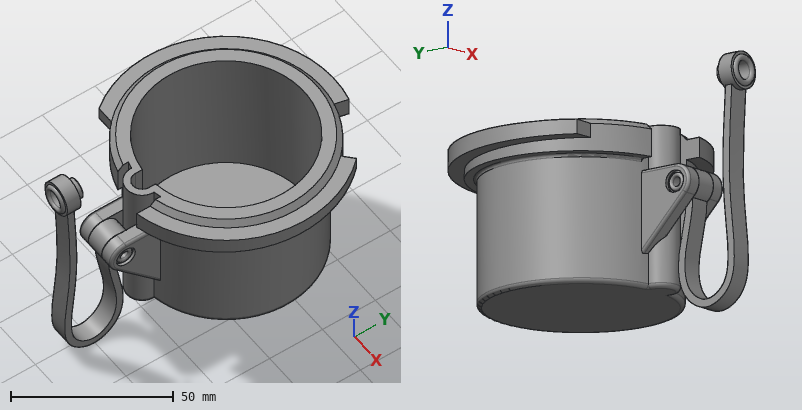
import cadquery as cq
import math

body_radius = 32.1
cavity_radius = 29.4
floor_thickness = 2.7
cup_height = 51.4
base_fillet = 1.5

channel_outer_radius = 6.0
channel_inner_radius = 3.5
channel_center_y = -31.8

collar_radius = 35.9
collar_bottom = 40.8
collar_chamfer = 1.9
collar_fillet = 1.0
collar_shoulder = cup_height - collar_chamfer

lug_radius = 40.9
lug_thin_end = 4.4
lug_rise_per_turn = 6.1
left_lug_angles = (76.8, 230)
right_lug_angles = (-90, 43)
left_lug_end_y = -24.9

hinge_width = 17
ear_gap = 7.1
pivot_y = -44.0
pivot_z = 31.6
ear_radius = 5.6
ear_root_y = -30.4
ear_fillet = 1.0
ear_recess_radius = 3.5
ear_recess_depth = 1.2
pin_bore_radius = 1.5
pin_bead_radius = 0.7

strap_width = 6.9
strap_thickness = 2.5
plug_z = 65.3
plug_radius = 6.0
plug_back_y = -59.2
plug_tip_y = -65.4
plug_bore_radius = 3.0
plug_bead_radius = 1.01
plug_face_y = plug_tip_y + plug_bead_radius
nib_radius = 3.5
nib_length = 2.5

strap_path = [
    (-45.8, 28.2),
    (-45.6, 23.4),
    (-44.3, 16.8),
    (-42.7, 6.6),
    (-45.3, -3.4),
    (-52.2, -7.4),
    (-60.0, -3.4),
    (-62.3, 6.6),
    (-61.2, 19.5),
    (-60.3, 33.8),
    (-60.4, 42.6),
    (-61.3, 61.1),
]


def cylinder_z(radius, bottom, top, center_y=0):
    """Upright cylinder centred on X = 0."""
    return cq.Workplane("XY", origin=(0, center_y, bottom)).circle(radius).extrude(top - bottom)


def cylinder_x(radius, length):
    """Cylinder on the hinge pivot, centred on X = 0."""
    plane = cq.Workplane("YZ", origin=(0, pivot_y, pivot_z))
    return plane.circle(radius).extrude(length / 2, both=True)


def cylinder_y(radius, back_y, front_y):
    """Cylinder on the plug axis, from back_y forward to front_y."""
    return cq.Workplane("XZ", origin=(0, back_y, plug_z)).circle(radius).extrude(back_y - front_y)


def bead(bore_radius, bead_radius, center, direction):
    """Round ring whose hole has the given bore radius."""
    ring = cq.Solid.makeTorus(
        bore_radius + bead_radius, bead_radius, cq.Vector(*center), cq.Vector(*direction)
    )
    return cq.Workplane(obj=ring)


def make_cavity():
    """Inside of the cup, with the channel opening into it."""
    bore = cylinder_z(cavity_radius, floor_thickness, cup_height)
    channel = cylinder_z(channel_inner_radius, floor_thickness, cup_height, channel_center_y)
    slot = cq.Workplane("XY", origin=(0, channel_center_y / 2, floor_thickness)).box(
        2 * channel_inner_radius, -channel_center_y, cup_height - floor_thickness,
        centered=(True, True, False),
    )
    return bore.union(channel).union(slot)


def make_shell():
    """Hollow cup with its channel wall."""
    body = cylinder_z(body_radius, 0, cup_height)
    channel = cylinder_z(channel_outer_radius, 0, cup_height, channel_center_y)
    shell = body.union(channel).cut(make_cavity())
    return shell.faces("<Z").edges().fillet(base_fillet)


def make_collar():
    """Chamfered collar with a fillet down to the cup wall."""
    inner_radius = (cavity_radius + body_radius) / 2
    fillet_middle = collar_fillet * (1 - math.sqrt(0.5))
    profile = (
        cq.Workplane("XZ")
        .moveTo(inner_radius, cup_height)
        .lineTo(collar_radius - collar_chamfer, cup_height)
        .lineTo(collar_radius, collar_shoulder)
        .lineTo(collar_radius, collar_bottom)
        .lineTo(body_radius + collar_fillet, collar_bottom)
        .threePointArc(
            (body_radius + fillet_middle, collar_bottom - fillet_middle),
            (body_radius, collar_bottom - collar_fillet),
        )
        .lineTo(inner_radius, collar_bottom - collar_fillet)
        .close()
    )
    return profile.revolve(360, (0, 0, 0), (0, 1, 0))


def make_lug(thick_end_angle, thin_end_angle):
    """Ring sector with a flat top and a helical underside."""
    span = thin_end_angle - thick_end_angle
    rise = lug_rise_per_turn * span / 360
    start_z = collar_shoulder - lug_thin_end - rise
    inner_radius = (body_radius + collar_radius) / 2
    sweep_margin = 2.1
    section_width = lug_radius - inner_radius + 2 * sweep_margin
    section_height = lug_thin_end + rise + sweep_margin
    middle_radius = (inner_radius + lug_radius) / 2
    path = cq.Workplane(obj=cq.Wire.makeHelix(lug_rise_per_turn, rise, middle_radius))
    ramp = (
        cq.Workplane("XZ", origin=(middle_radius, 0, 0))
        .rect(section_width, 2 * section_height)
        .sweep(path, isFrenet=True)
        .rotate((0, 0, 0), (0, 0, 1), thick_end_angle)
        .translate((0, 0, start_z + section_height))
    )
    ring = cylinder_z(lug_radius, collar_bottom, collar_shoulder)
    ring = ring.cut(cylinder_z(inner_radius, collar_bottom, collar_shoulder))
    return ring.intersect(ramp)


def make_lugs():
    """Both lugs, the left one ending in a flat face square to Y."""
    left_lug = make_lug(*left_lug_angles)
    right_lug = make_lug(*right_lug_angles)
    trim = cq.Workplane("XY").box(
        2 * lug_radius, lug_radius, cup_height, centered=(True, False, False)
    )
    left_lug = left_lug.cut(trim.translate((0, left_lug_end_y - lug_radius, 0)))
    return left_lug.union(right_lug)


def make_hinge_slot():
    """Room for the hinge, cut through the front of the collar and lugs."""
    bottom = collar_bottom - collar_fillet
    return cq.Workplane("XY", origin=(0, -lug_radius / 2, bottom)).box(
        hinge_width, lug_radius, cup_height - bottom, centered=(True, True, False)
    )


def make_ear(side):
    """Hinge ear on the given side (-1 or 1) with rounded outer edges."""
    diagonal = ear_radius * math.sqrt(0.5)
    slope_y = pivot_y - diagonal
    slope_z = pivot_z - diagonal
    root_bottom = slope_z + slope_y - ear_root_y
    thickness = (hinge_width - ear_gap) / 2
    ear = (
        cq.Workplane("YZ", origin=(side * ear_gap / 2, 0, 0))
        .moveTo(ear_root_y, pivot_z + ear_radius)
        .lineTo(pivot_y, pivot_z + ear_radius)
        .threePointArc((pivot_y - ear_radius, pivot_z), (slope_y, slope_z))
        .lineTo(ear_root_y, root_bottom)
        .close()
        .extrude(side * thickness)
    )
    outer_face = ear.faces(">X" if side > 0 else "<X")
    ear = outer_face.edges("not(>Y)").fillet(ear_fillet)
    recess_floor = side * (hinge_width / 2 - ear_recess_depth)
    recess = cq.Workplane("YZ", origin=(recess_floor, pivot_y, pivot_z))
    ear = ear.cut(recess.circle(ear_recess_radius).extrude(side * ear_recess_depth))
    return ear.union(
        bead(pin_bore_radius, pin_bead_radius, (recess_floor, pivot_y, pivot_z), (1, 0, 0))
    )


def make_hinge():
    """Ears, knuckle and the pin that joins them."""
    knuckle = cylinder_x(ear_radius, strap_width)
    pin = cylinder_x(ear_recess_radius, hinge_width - 2 * ear_recess_depth)
    return make_ear(-1).union(make_ear(1)).union(knuckle).union(pin)


def make_strap():
    """Flat strap following its centre line."""
    path = cq.Workplane("YZ").spline(strap_path)
    start_y, start_z = strap_path[0]
    next_y, next_z = strap_path[1]
    section_plane = cq.Plane(
        origin=(0, start_y, start_z),
        xDir=(1, 0, 0),
        normal=(0, next_y - start_y, next_z - start_z),
    )
    return cq.Workplane(section_plane).rect(strap_width, strap_thickness).sweep(path)


def make_plug():
    """Plug head with a nib behind and a round bead in front."""
    head = cylinder_y(plug_radius, plug_back_y, plug_face_y)
    nib = cylinder_y(nib_radius, plug_back_y + nib_length, plug_back_y)
    ring = bead(plug_bore_radius, plug_bead_radius, (0, plug_face_y, plug_z), (0, 1, 0))
    return head.union(nib).union(ring)


rim = make_collar().union(make_lugs()).cut(make_hinge_slot())
pin_bore = cylinder_x(pin_bore_radius, hinge_width)
plug_bore = cylinder_y(plug_bore_radius, plug_back_y + nib_length, plug_tip_y)

result = make_shell().union(rim).union(make_hinge()).union(make_strap()).union(make_plug())
result = result.cut(pin_bore).cut(plug_bore)